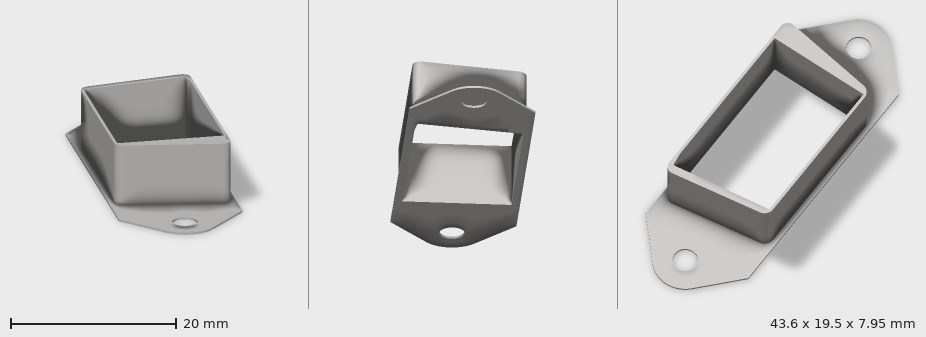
import cadquery as cq
import math

tilt = -8.0
total_height = 7.95

plate_thickness = 0.25
plate_width = 15.3
shoulder_length = 31.15
ear_radius = 3.95
hole_pitch = 36.02
hole_diameter = 3.05

collar_width = 14.0
collar_mid_length = 23.37
collar_draft = 8.8
collar_wide_radius = 1.0
collar_narrow_radius = 1.25

opening_length = 19.55
opening_width = 13.25
opening_left_x = -10.6
opening_top_y = 7.95
cutter_reach = 43.6


def make_plate():
    """Six-sided plate whose pointed ends are rounded about the screw holes."""
    half_width = plate_width / 2
    shoulder_x = shoulder_length / 2
    ear_x = hole_pitch / 2
    run = ear_x - shoulder_x

    shoulder_angle = math.atan2(half_width, -run)
    tangent_angle = shoulder_angle - math.acos(ear_radius / math.hypot(run, half_width))
    tangent_x = ear_x + ear_radius * math.cos(tangent_angle)
    tangent_y = ear_radius * math.sin(tangent_angle)
    tip_x = ear_x + ear_radius

    return (
        cq.Workplane("XY")
        .moveTo(-shoulder_x, half_width)
        .lineTo(shoulder_x, half_width)
        .lineTo(tangent_x, tangent_y)
        .threePointArc((tip_x, 0), (tangent_x, -tangent_y))
        .lineTo(shoulder_x, -half_width)
        .lineTo(-shoulder_x, -half_width)
        .lineTo(-tangent_x, -tangent_y)
        .threePointArc((-tip_x, 0), (-tangent_x, tangent_y))
        .close()
        .extrude(plate_thickness)
        .faces(">Z")
        .workplane(origin=(0, 0, plate_thickness))
        .pushPoints([(-ear_x, 0), (ear_x, 0)])
        .hole(hole_diameter)
    )


def make_collar():
    """Solid trapezoidal block, wider along +Y, with rounded upright edges."""
    half_width = collar_width / 2
    half_mid = collar_mid_length / 2
    flare = half_width * math.tan(math.radians(collar_draft))
    corners = [
        (-half_mid - flare, half_width),
        (half_mid + flare, half_width),
        (half_mid - flare, -half_width),
        (-half_mid + flare, -half_width),
    ]
    block = cq.Workplane("XY").polyline(corners).close().extrude(total_height)
    block = block.faces(">Y").edges("|Z").fillet(collar_wide_radius)
    return block.faces("<Y").edges("|Z").fillet(collar_narrow_radius)


def make_opening():
    """Tilted rectangle extended left, then trimmed by planes square to X and Y."""
    right_x = opening_length / 2
    slot = (
        cq.Workplane("XY")
        .center(right_x - cutter_reach / 2, 0)
        .rect(cutter_reach, opening_width)
        .extrude(total_height)
        .rotate((0, 0, 0), (0, 0, 1), tilt)
    )
    limits = (
        cq.Workplane("XY")
        .box(cutter_reach, cutter_reach, total_height, centered=False)
        .translate((opening_left_x, opening_top_y - cutter_reach, 0))
    )
    return slot.intersect(limits)


body = make_plate().union(make_collar()).rotate((0, 0, 0), (0, 0, 1), tilt)
result = body.cut(make_opening())